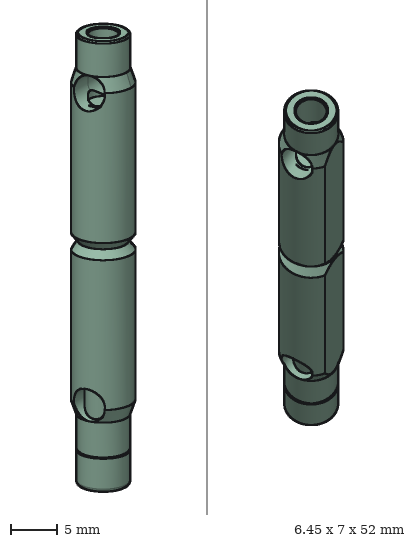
import cadquery as cq

total_length = 52.0
body_diameter = 7.0
body_radius = body_diameter / 2
collar_diameter = 5.9
collar_radius = collar_diameter / 2
flat_offset = collar_radius

cap_length = 4.05
cap_round = 0.45
cap_chamfer = 0.1

housing_length = total_length - cap_length
housing_middle = cap_length + housing_length / 2
collar_length = 4.05
mouth_chamfer = 0.2
seam_chamfer = 0.05
taper_length = 1.65
groove_radius = 2.75
groove_half_width = 1.0

mouth_radius = 1.65
bore_chamfer = 0.15
rod_radius = 2.05
cross_hole_diameter = 3.9
cross_hole_radius = cross_hole_diameter / 2
cross_hole_inset = collar_length + cross_hole_radius
rod_length = housing_length - cross_hole_inset - cross_hole_radius


def turned_blank():
    """Revolved outside shape with a collar and taper at each end and a V groove at mid-height."""
    top = total_length
    bottom = cap_length
    taper_end = collar_length + taper_length
    profile = [
        (0, bottom),
        (collar_radius - seam_chamfer, bottom),
        (collar_radius, bottom + seam_chamfer),
        (collar_radius, bottom + collar_length),
        (body_radius, bottom + taper_end),
        (body_radius, housing_middle - groove_half_width),
        (groove_radius, housing_middle),
        (body_radius, housing_middle + groove_half_width),
        (body_radius, top - taper_end),
        (collar_radius, top - collar_length),
        (collar_radius, top - mouth_chamfer),
        (collar_radius - mouth_chamfer, top),
        (0, top),
    ]
    return cq.Workplane("XZ").polyline(profile).close().revolve(360, (0, 0), (0, 1))


def cut_side_flat(blank):
    """Keep only what lies on the +X side of the flat."""
    keep = (
        cq.Workplane("XY")
        .box(body_diameter, body_diameter, total_length, centered=(False, True, False))
        .translate((-flat_offset, 0, 0))
    )
    return blank.intersect(keep)


def rod_shape():
    """Cylinder from the cap up to the lower edge of the upper cross hole."""
    return cq.Workplane("XY").workplane(offset=cap_length).circle(rod_radius).extrude(rod_length)


def cut_bores(blank):
    """Wide bore that holds the rod, and a narrow bore from the upper end down to the rod."""
    narrow_bore = (
        cq.Workplane("XY")
        .workplane(offset=total_length)
        .circle(mouth_radius)
        .extrude(rod_length - housing_length)
    )
    countersink = cq.Solid.makeCone(
        mouth_radius,
        mouth_radius + bore_chamfer,
        bore_chamfer,
        cq.Vector(0, 0, total_length - bore_chamfer),
    )
    return blank.cut(rod_shape()).cut(narrow_bore).cut(cq.Workplane(obj=countersink))


def cut_cross_holes(blank):
    """One hole along Y below each tapered shoulder."""
    for height in (cap_length + cross_hole_inset, total_length - cross_hole_inset):
        hole = (
            cq.Workplane("XZ")
            .center(0, height)
            .circle(cross_hole_radius)
            .extrude(body_radius, both=True)
        )
        blank = blank.cut(hole)
    return blank


def make_housing():
    return cut_cross_holes(cut_bores(cut_side_flat(turned_blank())))


def make_cap():
    """Plain disc closing the lower end, rounded at the bottom."""
    disc = cq.Workplane("XY").circle(collar_radius).extrude(cap_length)
    return disc.faces("<Z").edges().fillet(cap_round).faces(">Z").edges().chamfer(cap_chamfer)


housing = make_housing()
cap = make_cap()
rod = rod_shape()

result = cq.Compound.makeCompound([housing.val(), cap.val(), rod.val()])